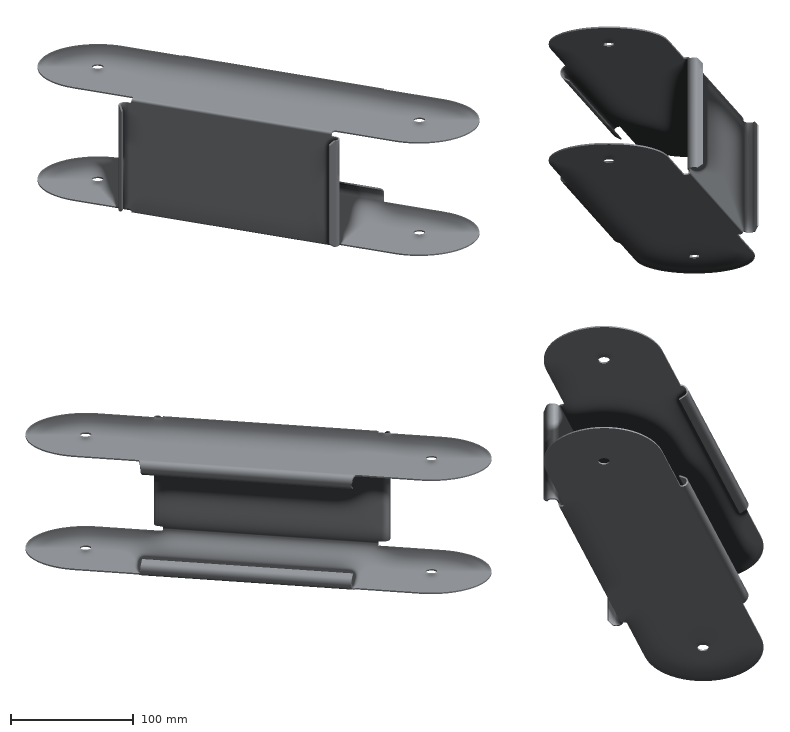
import cadquery as cq
import math

overall_length = 385.0
overall_depth = 121.25
overall_height = 100.0
sheet = 1.25

plate_width = 98.5
hole_spacing = 287.0
hole_diameter = 9.3

lip_radius = 5.75
lip_angle = 150.0
lip_tail = 5.0

lip_root_width = 180.0
lip_edge_width = 175.0

web_width = 178.5
web_bend_radius = 2.25
hook_radius = 5.5
hook_angle = 135.0
hook_tail = 5.0
hook_span = 196.0
hook_height = 93.0
hook_tip_height = 85.5
plate_relief_radius = 2.0

half_height = overall_height / 2
plate_edge = plate_width / 2
hook_turn = math.radians(hook_angle)
hook_arc_depth = hook_radius * (1 - math.cos(hook_turn))
hook_depth = hook_arc_depth + hook_tail * math.sin(hook_turn)
lip_outer = plate_edge + lip_radius
web_back = lip_outer - overall_depth + hook_depth
web_front = web_back - sheet
hook_crease = web_back - hook_arc_depth
hook_tip = web_back - hook_depth
hook_bend_x = hook_span / 2 - hook_radius
hook_relief_radius = half_height - web_bend_radius - hook_height / 2


def centred_box(size_x, size_z, y_low, y_high):
    """Box centred on X and Z, between two Y positions."""
    return cq.Workplane("XY").box(size_x, y_high - y_low, size_z).translate((0, (y_low + y_high) / 2, 0))


def curled_strip(plane, start, outward, inward, outer_radius, angle, tail):
    """Closed sheet section: a bend of the given angle ending in a straight tail.

    The bend starts at `start` on its outer face, runs off along `outward`
    and turns towards `inward`.
    """
    inner_radius = outer_radius - sheet

    def at(radius, degrees, run=0.0):
        turn = math.radians(degrees)
        along = radius * math.sin(turn) + run * math.cos(turn)
        across = outer_radius - radius * math.cos(turn) + run * math.sin(turn)
        return tuple(s + along * o + across * i for s, o, i in zip(start, outward, inward))

    return (
        cq.Workplane(plane)
        .moveTo(*at(outer_radius, 0))
        .threePointArc(at(outer_radius, angle / 2), at(outer_radius, angle))
        .lineTo(*at(outer_radius, angle, tail))
        .lineTo(*at(inner_radius, angle, tail))
        .lineTo(*at(inner_radius, angle))
        .threePointArc(at(inner_radius, angle / 2), at(inner_radius, 0))
        .close()
    )


def plates():
    """Upper and lower plates, each with a hole near both round ends."""
    outline = cq.Workplane("XY").slot2D(overall_length, plate_width)
    plate = outline.extrude(sheet)
    holes = (
        cq.Workplane("XY")
        .pushPoints([(-hole_spacing / 2, 0), (hole_spacing / 2, 0)])
        .circle(hole_diameter / 2)
        .extrude(sheet)
    )
    plate = plate.cut(holes)
    upper = plate.translate((0, 0, half_height - sheet))
    return upper.union(plate.translate((0, 0, -half_height)))


def web():
    """Channel section bent down from the plates."""
    outer = centred_box(web_width, overall_height, web_front, -plate_edge + sheet)
    outer = outer.edges("|X and <Y").fillet(web_bend_radius)
    cavity = centred_box(web_width, overall_height - 2 * sheet, web_back, 0)
    cavity = cavity.edges("|X and <Y").fillet(web_bend_radius - sheet)
    return outer.cut(cavity)


def relief_fillet(plane, corner, out_u, out_v, radius):
    """Concave corner filler of one sheet thickness."""
    u, v = corner
    mid = radius * (1 - math.sqrt(0.5))
    return (
        cq.Workplane(plane)
        .moveTo(u, v)
        .lineTo(u + out_u * radius, v)
        .threePointArc((u + out_u * mid, v + out_v * mid), (u, v + out_v * radius))
        .close()
        .extrude(sheet)
    )


def plate_relief_fillets():
    """Fillets between the straight plate edges and the sides of the web strip."""
    fillets = cq.Workplane("XY")
    for side in (-1, 1):
        fillet = relief_fillet("XY", (side * web_width / 2, -plate_edge), side, -1, plate_relief_radius)
        fillets = fillets.union(fillet.translate((0, 0, half_height - sheet)))
        fillets = fillets.union(fillet.translate((0, 0, -half_height)))
    return fillets


def hook_relief_fillets():
    """Fillets between the top and bottom edges of the hooks and the sides of the web strip."""
    fillets = cq.Workplane("XY")
    for side in (-1, 1):
        for up in (-1, 1):
            corner = (side * web_width / 2, up * hook_height / 2)
            fillet = relief_fillet("XZ", corner, side, up, hook_relief_radius)
            fillets = fillets.union(fillet.translate((0, web_back, 0)))
    return fillets


def hooks():
    """Web ends that extend past the web strip and curl forward, with tapered tips."""
    body = centred_box(2 * hook_bend_x, hook_height, web_front, web_back)
    for side in (-1, 1):
        start = (side * hook_bend_x, web_back)
        section = curled_strip("XY", start, (side, 0), (0, -1), hook_radius, hook_angle, hook_tail)
        body = body.union(section.extrude(hook_height / 2, both=True))
    height = hook_height / 2
    tip = hook_tip_height / 2
    envelope = (
        cq.Workplane("YZ")
        .polyline([
            (web_back, -height),
            (hook_crease, -height),
            (hook_tip, -tip),
            (hook_tip, tip),
            (hook_crease, height),
            (web_back, height),
        ])
        .close()
        .extrude(hook_span, both=True)
    )
    return body.intersect(envelope)


def lips():
    """Rear lips, curled from each plate towards the space between the plates."""
    root = lip_root_width / 2
    edge = lip_edge_width / 2
    envelope = (
        cq.Workplane("XY")
        .polyline([(-root, plate_edge), (root, plate_edge), (edge, lip_outer), (-edge, lip_outer)])
        .close()
        .extrude(half_height, both=True)
    )
    tail_zone = cq.Workplane("XY").box(lip_edge_width, 2 * lip_outer, overall_height - 2 * lip_radius)
    upper_zone = cq.Workplane("XY").box(lip_root_width, 2 * lip_outer, lip_radius)
    upper_zone = upper_zone.translate((0, 0, half_height - lip_radius / 2)).intersect(envelope)
    start = (plate_edge, half_height)
    section = curled_strip("YZ", start, (1, 0), (0, -1), lip_radius, lip_angle, lip_tail)
    upper = section.extrude(root, both=True).intersect(upper_zone.union(tail_zone))
    return upper.union(upper.mirror("XY"))


result = (
    plates()
    .union(web())
    .union(plate_relief_fillets())
    .union(hooks())
    .union(hook_relief_fillets())
    .union(lips())
)